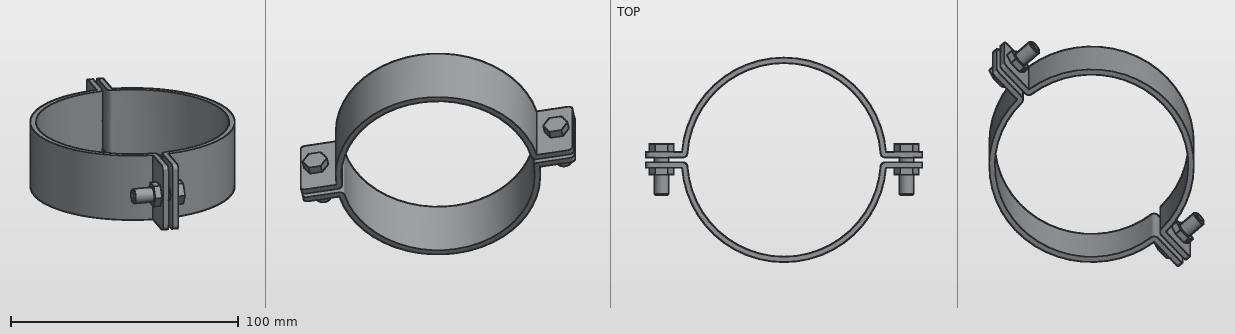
import cadquery as cq
import math

band_outer_radius = 45.0
band_thickness = 2.5
band_inner_radius = band_outer_radius - band_thickness
band_width = 30.0
half_gap = 1.0

ear_length = 16.0
ear_corner_radius = 2.0
bend_radius = 2.2
ear_outer_y = half_gap + band_thickness
bend_corner_x = math.sqrt(band_outer_radius**2 - ear_outer_y**2)
ear_end_x = bend_corner_x + ear_length

bolt_diameter = 6.5
bolt_edge_distance = 7.0
bolt_x = ear_end_x - bolt_edge_distance
hex_across_flats = 9.45
hex_across_corners = hex_across_flats / math.cos(math.radians(30))
head_height = 3.5
nut_height = 3.0
bolt_tip_y = -15.5
tip_chamfer = 0.7


def cylinder_along_y(diameter, x, y_start, y_end):
    """Cylinder on a Y-parallel axis at height zero."""
    plane = cq.Workplane("XZ", origin=(x, y_start, 0))
    return plane.circle(diameter / 2).extrude(y_start - y_end)


def hexagon_along_y(x, y_start, y_end):
    """Hexagonal prism with two corners pointing along X."""
    plane = cq.Workplane("XZ", origin=(x, y_start, 0))
    return plane.polygon(6, hex_across_corners).extrude(y_start - y_end)


def make_rear_half():
    """Half band on the +Y side, with one drilled ear at each end."""
    bend_y = half_gap + bend_radius
    bend_centre_distance = band_inner_radius + bend_radius
    bend_x = math.sqrt(bend_centre_distance**2 - bend_y**2)
    bore_scale = band_inner_radius / bend_centre_distance
    bore_end_x = bend_x * bore_scale
    bore_end_y = bend_y * bore_scale

    bore_end_angle = math.pi + math.atan2(bend_y, bend_x)
    middle_angle = (bore_end_angle + 1.5 * math.pi) / 2
    bend_middle_x = bend_x + bend_radius * math.cos(middle_angle)
    bend_middle_y = bend_y + bend_radius * math.sin(middle_angle)

    half = (
        cq.Workplane("XY", origin=(0, 0, -band_width / 2))
        .moveTo(bend_corner_x, ear_outer_y)
        .threePointArc((0, band_outer_radius), (-bend_corner_x, ear_outer_y))
        .lineTo(-ear_end_x, ear_outer_y)
        .lineTo(-ear_end_x, half_gap)
        .lineTo(-bend_x, half_gap)
        .threePointArc((-bend_middle_x, bend_middle_y), (-bore_end_x, bore_end_y))
        .threePointArc((0, band_inner_radius), (bore_end_x, bore_end_y))
        .threePointArc((bend_middle_x, bend_middle_y), (bend_x, half_gap))
        .lineTo(ear_end_x, half_gap)
        .lineTo(ear_end_x, ear_outer_y)
        .close()
        .extrude(band_width)
    )

    half = half.faces("<X or >X").edges("|Y").fillet(ear_corner_radius)

    for side in (-1, 1):
        half = half.cut(cylinder_along_y(bolt_diameter, side * bolt_x, ear_outer_y, half_gap))
    return half


def make_bolt(x):
    """Hex bolt and its nut as one solid, clamping both ears at the given X."""
    shank = cylinder_along_y(bolt_diameter, x, ear_outer_y, bolt_tip_y)
    shank = shank.faces("<Y").chamfer(tip_chamfer)
    head = hexagon_along_y(x, ear_outer_y + head_height, ear_outer_y)
    nut = hexagon_along_y(x, -ear_outer_y, -ear_outer_y - nut_height)
    return shank.union(head).union(nut)


rear_half = make_rear_half()
front_half = rear_half.mirror("XZ")
bolts = [make_bolt(side * bolt_x) for side in (-1, 1)]

result = cq.Compound.makeCompound(
    [rear_half.val(), front_half.val(), *[bolt.val() for bolt in bolts]]
)